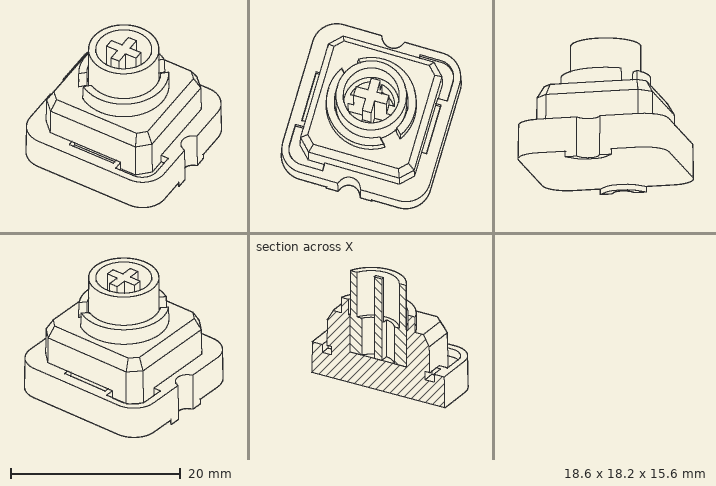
import cadquery as cq
import math

MOULD_DRAFT = 1.0

BASE_LENGTH = 18.6
BASE_WIDTH = 18.2
BASE_HEIGHT = 4.11
BASE_CORNER_RADIUS = 3.01

NOTCH_MOUTH_HALF_WIDTH = 1.38
NOTCH_ROUND_HALF_WIDTH = 1.12
NOTCH_ROUND_START = 0.48
NOTCH_DEPTH = 1.12

FOOT_HEIGHT = 0.67
FOOT_LENGTH = 1.64
FOOT_OUTER_WIDTH = 5.62
FOOT_INNER_WIDTH = 2.57
FOOT_CORNER_RADIUS = 1.99

RECESS_DEPTH = 1.05
CORNER_RECESS_REACH_X = 8.3
CORNER_RECESS_REACH_Y = 8.18
CORNER_RECESS_END_X = 3.85
CORNER_RECESS_END_Y = 3.57
CORNER_RECESS_RADIUS = 1.99
SLOT_LENGTH = 6.08
SLOT_OFFSET = 0.15
SLOT_OUTER_Y = 7.6
SLOT_INNER_Y = 6.4

BLOCK_LENGTH = 14.5
BLOCK_WIDTH = 13.95
BLOCK_CORNER_CUT = 1.41
BEVEL_BOTTOM_Z = 7.57
BEVEL_HEIGHT = 1.41
BEVEL_ANGLE = 29.5

COLLAR_HEIGHT = 2.03
COLLAR_BOTTOM_RADIUS = 5.34
COLLAR_INNER_DIAMETER = 8.7
COLLAR_GAP_TOP_WIDTH = 2.25
COLLAR_GAP_DRAFT = 3.0
COLLAR_GAP_DIRECTION = 45.0

STEM_DIAMETER = 8.31
STEM_TOP_Z = 14.88
CUP_DIAMETER = 6.6
OPENING_DIAMETER = 5.5
CROSS_SPAN = 4.02
CROSS_ARM_WIDTH = 1.1
CROSS_TURN = 1.0

RECESS_FLOOR_Z = BASE_HEIGHT - RECESS_DEPTH
BLOCK_TOP_Z = BEVEL_BOTTOM_Z + BEVEL_HEIGHT
STEM_SEAT_Z = BASE_HEIGHT
CUP_FLOOR_Z = BLOCK_TOP_Z


def at_height(z):
    return cq.Workplane("XY", origin=(0, 0, z))


def half_turn(shape):
    """The same shape turned 180 degrees about Z."""
    return shape.rotate((0, 0, 0), (0, 0, 1), 180)


def base_outline(z):
    """Rounded rectangle with a notch in the middle of both X ends."""
    end = BASE_LENGTH / 2
    side = BASE_WIDTH / 2
    radius = BASE_CORNER_RADIUS
    inset = radius * (1 - math.sqrt(0.5))
    outline = at_height(z).moveTo(-end + radius, -side)
    for sign in (1, -1):
        outline = (
            outline.lineTo(sign * (end - radius), -sign * side)
            .threePointArc(
                (sign * (end - inset), -sign * (side - inset)),
                (sign * end, -sign * (side - radius)),
            )
            .lineTo(sign * end, -sign * NOTCH_MOUTH_HALF_WIDTH)
            .lineTo(sign * (end - NOTCH_ROUND_START), -sign * NOTCH_ROUND_HALF_WIDTH)
            .threePointArc(
                (sign * (end - NOTCH_DEPTH), 0),
                (sign * (end - NOTCH_ROUND_START), sign * NOTCH_ROUND_HALF_WIDTH),
            )
            .lineTo(sign * end, sign * NOTCH_MOUTH_HALF_WIDTH)
            .lineTo(sign * end, sign * (side - radius))
            .threePointArc(
                (sign * (end - inset), sign * (side - inset)),
                (sign * (end - radius), sign * side),
            )
        )
    return outline.close()


def make_feet():
    """Feet that follow the notched ends of the base, tapering inward to a rounded inner side."""
    outer_x = BASE_LENGTH / 2
    inner_x = outer_x - FOOT_LENGTH
    plate = base_outline(-FOOT_HEIGHT).extrude(FOOT_HEIGHT)
    foot_blank = (
        at_height(-FOOT_HEIGHT)
        .polyline([
            (outer_x, -FOOT_OUTER_WIDTH / 2), (outer_x, FOOT_OUTER_WIDTH / 2),
            (inner_x, FOOT_INNER_WIDTH / 2), (inner_x, -FOOT_INNER_WIDTH / 2),
        ])
        .close()
        .extrude(FOOT_HEIGHT)
    )
    foot_blank = foot_blank.faces("<X").edges("|Z").fillet(FOOT_CORNER_RADIUS)
    return plate.intersect(foot_blank.union(half_turn(foot_blank)))


def make_corner_recess():
    """Recess around the (-X, +Y) corner; the block later fills its inner part."""
    length = CORNER_RECESS_REACH_X - CORNER_RECESS_END_X
    width = CORNER_RECESS_REACH_Y - CORNER_RECESS_END_Y
    return (
        at_height(RECESS_FLOOR_Z)
        .rect(length, width)
        .extrude(RECESS_DEPTH)
        .edges("|Z and <X and >Y")
        .fillet(CORNER_RECESS_RADIUS)
        .translate((-CORNER_RECESS_END_X - length / 2, CORNER_RECESS_END_Y + width / 2, 0))
    )


def make_side_slot():
    """Slot along the -Y side that undercuts the block."""
    return (
        at_height(RECESS_FLOOR_Z)
        .center(SLOT_OFFSET, -(SLOT_INNER_Y + SLOT_OUTER_Y) / 2)
        .rect(SLOT_LENGTH, SLOT_OUTER_Y - SLOT_INNER_Y)
        .extrude(RECESS_DEPTH)
    )


def cut_corner_outline(z, length, width, corner_cut):
    x = length / 2
    y = width / 2
    c = corner_cut
    points = [
        (x - c, -y), (x, -y + c), (x, y - c), (x - c, y),
        (-x + c, y), (-x, y - c), (-x, -y + c), (-x + c, -y),
    ]
    return at_height(z).polyline(points).close()


def make_block():
    """Block with cut corners, drafted walls and a bevelled top rim."""
    wall_height = BEVEL_BOTTOM_Z - RECESS_FLOOR_Z
    spread = wall_height * math.tan(math.radians(MOULD_DRAFT))
    cut_growth = spread * (2 - math.sqrt(2))
    walls = cut_corner_outline(
        RECESS_FLOOR_Z,
        BLOCK_LENGTH + 2 * spread,
        BLOCK_WIDTH + 2 * spread,
        BLOCK_CORNER_CUT + cut_growth,
    ).extrude(wall_height, taper=MOULD_DRAFT)
    bevel = cut_corner_outline(
        BEVEL_BOTTOM_Z, BLOCK_LENGTH, BLOCK_WIDTH, BLOCK_CORNER_CUT
    ).extrude(BEVEL_HEIGHT, taper=BEVEL_ANGLE)
    return walls.union(bevel)


def make_collar():
    """Drafted ring with a gap on two opposite sides."""
    ring = at_height(BLOCK_TOP_Z).circle(COLLAR_BOTTOM_RADIUS).extrude(COLLAR_HEIGHT, taper=MOULD_DRAFT)
    narrowing = COLLAR_HEIGHT * math.tan(math.radians(COLLAR_GAP_DRAFT))
    top_half = COLLAR_GAP_TOP_WIDTH / 2
    bottom_half = top_half - narrowing
    top_z = BLOCK_TOP_Z + COLLAR_HEIGHT
    gap = (
        cq.Workplane("YZ")
        .polyline([
            (-bottom_half, BLOCK_TOP_Z), (bottom_half, BLOCK_TOP_Z),
            (top_half, top_z), (-top_half, top_z),
        ])
        .close()
        .extrude(COLLAR_BOTTOM_RADIUS * 2, both=True)
        .rotate((0, 0, 0), (0, 0, 1), COLLAR_GAP_DIRECTION)
    )
    clearance = at_height(BLOCK_TOP_Z).circle(COLLAR_INNER_DIAMETER / 2).extrude(COLLAR_HEIGHT)
    return ring.cut(clearance).cut(gap)


def make_housing():
    corner_recess = make_corner_recess()
    side_slot = make_side_slot()
    stem_bore = at_height(STEM_SEAT_Z).circle(STEM_DIAMETER / 2).extrude(BLOCK_TOP_Z - STEM_SEAT_Z)
    base = base_outline(0).extrude(BASE_HEIGHT, taper=MOULD_DRAFT)
    return (
        base.cut(corner_recess)
        .cut(half_turn(corner_recess))
        .union(make_feet())
        .union(make_block())
        .cut(side_slot)
        .cut(half_turn(side_slot))
        .union(make_collar())
        .cut(stem_bore)
    )


def make_cross(z, span, height):
    arm = at_height(z).rect(span, CROSS_ARM_WIDTH).extrude(height)
    other_arm = at_height(z).rect(CROSS_ARM_WIDTH, span).extrude(height)
    return arm.union(other_arm).rotate((0, 0, 0), (0, 0, 1), CROSS_TURN)


def make_stem():
    """Cup whose floor has four quarter-round openings between the webs that carry the cross."""
    floor_height = CUP_FLOOR_Z - STEM_SEAT_Z
    cup_depth = STEM_TOP_Z - CUP_FLOOR_Z
    body = at_height(STEM_SEAT_Z).circle(STEM_DIAMETER / 2).extrude(STEM_TOP_Z - STEM_SEAT_Z)
    cup = at_height(CUP_FLOOR_Z).circle(CUP_DIAMETER / 2).extrude(cup_depth)
    floor_openings = (
        at_height(STEM_SEAT_Z)
        .circle(OPENING_DIAMETER / 2)
        .extrude(floor_height)
        .cut(make_cross(STEM_SEAT_Z, CUP_DIAMETER, floor_height))
    )
    cross = make_cross(CUP_FLOOR_Z, CROSS_SPAN, cup_depth)
    return body.cut(cup).cut(floor_openings).union(cross)


housing = make_housing()
stem = make_stem()

result = cq.Compound.makeCompound([housing.solids().val(), stem.solids().val()])